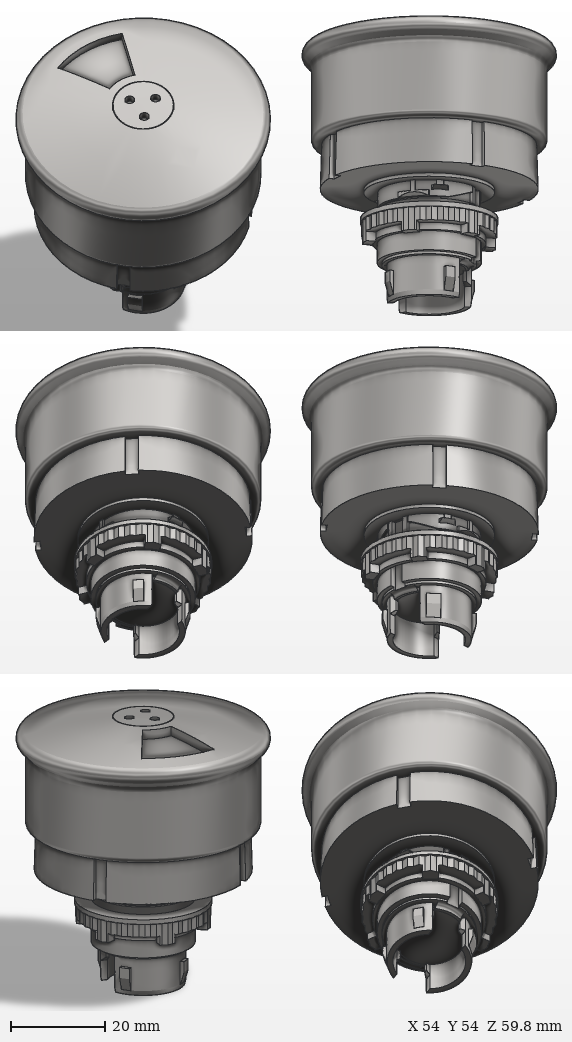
import cadquery as cq
import math

cap_top_z = 59.75
dome_edge_radius = 25.5
dome_sag = 3.1
rim_diameter = 54.0
rim_z = 54.85
rim_under_radius = 26.5
rim_under_z = 53.5
throat_radius = 25.4
throat_z = 52.4
drum_radius = 25.0
drum_top_z = 51.1
drum_bottom_z = 35.0
drum_bottom_fillet = 1.2

wedge_inner_radius = 8.5
wedge_outer_radius = 21.6
wedge_angle = 45.0
wedge_depth = 2.1

inlay_radius = 6.4
inlay_gap = 0.1
inlay_depth = 1.8
inlay_hole_radius = 1.0
inlay_hole_circle = 3.15
inlay_hole_count = 3
inlay_first_hole_angle = 90

collar_bottom_z = 25.35
collar_top_radius = 22.85
collar_bottom_radius = 23.15
collar_groove_width = 2.85
collar_groove_floor = 21.9
collar_groove_count = 4
collar_first_groove_angle = 45

gasket_bottom_z = 24.55
gasket_radius = 13.85

barrel_radius = 11.05
barrel_bottom_z = 9.2
barrel_shoulder_z = 20.55
neck_radius = 10.2
lip_radius = 10.05
lip_bottom_z = 8.6
bore_radius = 7.7
keyway_width = 3.0
keyway_floor_distance = 9.5
keyway_pad_width = 5.0
keyway_pad_radius = 10.8
leg_radius = 9.1
leg_slot_width = 8.2
leg_chamfer_height = 1.0
leg_chamfer_inset = 0.2
gusset_gap = 6.45
gusset_bottom_z = 4.5
gusset_chamfer = 0.9
web_top_radius = 9.5
web_bottom_radius = 8.3
web_arc_radius = 1.5
latch_width = 2.2
wide_latch_width = 3.1
latch_reach = 9.9
latch_top_z = 6.2
latch_ramp_z = 3.8
latch_bottom_z = 1.0
latch_angles = (45, 135, 225, 315)
wide_latch_angle = 315

plunger_bottom_z = 7.7

ring_radius = 10.95
ring_bottom_z = 21.1
ring_ramp_top_z = 23.1
ring_ramp_outer_x = 8.2
ring_ramp_inner_x = 3.2
ring_gap_width = 5.6
lobe_radius = 11.5
lobe_width = 6.8
lobe_top_z = 22.3
lobe_chamfer_height = 0.85
lobe_chamfer_depth = 0.5
lobe_rib_width = 1.0
barb_top_z = 23.35
barb_bottom_z = 22.5
barb_reach = 11.8
barb_root_radius = 10.8
barb_tip_width = 2.75
barb_root_width = 3.7
barb_rib_radius = 11.25
barb_rib_width = 1.55
barb_angles = (90, 210, 330)

nut_top_z = 18.95
nut_flange_radius = 14.6
nut_flange_bottom_z = 17.9
nut_tooth_radius = 14.4
nut_tooth_depth = 0.35
nut_tooth_count = 36
nut_tooth_bottom_z = 14.95
nut_hub_radius = 12.0
nut_hub_bottom_z = 13.4
nut_tab_width = 3.35
nut_tab_bottom_z = 12.9
nut_tab_count = 6

rim_radius = rim_diameter / 2
dome_sphere_radius = (dome_edge_radius ** 2 + dome_sag ** 2) / (2 * dome_sag)


def dome_z(radius):
    """Height of the dome surface at a given distance from the axis."""
    drop = dome_sphere_radius - math.sqrt(dome_sphere_radius ** 2 - radius ** 2)
    return cap_top_z - drop


def cylinder(radius, bottom_z, top_z):
    return cq.Workplane("XY", origin=(0, 0, bottom_z)).circle(radius).extrude(top_z - bottom_z)


def tube(outer_radius, inner_radius, bottom_z, top_z):
    profile = cq.Workplane("XY", origin=(0, 0, bottom_z)).circle(outer_radius).circle(inner_radius)
    return profile.extrude(top_z - bottom_z)


def block(x_range, y_range, z_range):
    size = [high - low for low, high in (x_range, y_range, z_range)]
    corner = (x_range[0], y_range[0], z_range[0])
    return cq.Workplane("XY").box(*size, centered=False).translate(corner)


def spin(shape, angle):
    return shape.rotate((0, 0, 0), (0, 0, 1), angle)


def make_wedge_pocket():
    """Ring sector whose floor runs parallel to the dome."""
    middle_radius = (wedge_inner_radius + wedge_outer_radius) / 2
    clear_z = cap_top_z + wedge_depth
    pocket = (
        cq.Workplane("XZ")
        .moveTo(wedge_inner_radius, dome_z(wedge_inner_radius) - wedge_depth)
        .threePointArc(
            (middle_radius, dome_z(middle_radius) - wedge_depth),
            (wedge_outer_radius, dome_z(wedge_outer_radius) - wedge_depth),
        )
        .lineTo(wedge_outer_radius, clear_z)
        .lineTo(wedge_inner_radius, clear_z)
        .close()
        .revolve(wedge_angle, (0, 0, 0), (0, 1, 0))
    )
    return spin(pocket, 180 - wedge_angle / 2)


def make_cap():
    half_edge = dome_edge_radius / 2
    cap = (
        cq.Workplane("XZ")
        .moveTo(0, drum_bottom_z)
        .lineTo(drum_radius, drum_bottom_z)
        .lineTo(drum_radius, drum_top_z)
        .tangentArcPoint((throat_radius, throat_z), relative=False)
        .lineTo(rim_under_radius, rim_under_z)
        .tangentArcPoint((rim_radius, rim_z), relative=False)
        .tangentArcPoint((dome_edge_radius, cap_top_z - dome_sag), relative=False)
        .threePointArc((half_edge, dome_z(half_edge)), (0, cap_top_z))
        .close()
        .revolve(360, (0, 0, 0), (0, 1, 0))
    )
    cap = cap.faces("<Z").edges().fillet(drum_bottom_fillet)
    recess = cylinder(inlay_radius + inlay_gap, cap_top_z - inlay_depth, cap_top_z)
    return cap.cut(recess).cut(make_wedge_pocket())


def make_inlay():
    bottom_z = cap_top_z - inlay_depth
    half_radius = inlay_radius / 2
    inlay = (
        cq.Workplane("XZ")
        .moveTo(0, bottom_z)
        .lineTo(inlay_radius, bottom_z)
        .lineTo(inlay_radius, dome_z(inlay_radius))
        .threePointArc((half_radius, dome_z(half_radius)), (0, cap_top_z))
        .close()
        .revolve(360, (0, 0, 0), (0, 1, 0))
    )
    holes = (
        cq.Workplane("XY", origin=(0, 0, bottom_z))
        .polarArray(inlay_hole_circle, inlay_first_hole_angle, 360, inlay_hole_count)
        .circle(inlay_hole_radius)
        .extrude(2 * inlay_depth)
    )
    return inlay.cut(holes)


def make_collar():
    """Disc with a slightly flared side: upright at the top, widest at the bottom."""
    middle_radius = collar_top_radius + (collar_bottom_radius - collar_top_radius) / 4
    middle_z = (collar_bottom_z + drum_bottom_z) / 2
    collar = (
        cq.Workplane("XZ")
        .moveTo(0, collar_bottom_z)
        .lineTo(collar_bottom_radius, collar_bottom_z)
        .threePointArc((middle_radius, middle_z), (collar_top_radius, drum_bottom_z))
        .lineTo(0, drum_bottom_z)
        .close()
        .revolve(360, (0, 0, 0), (0, 1, 0))
    )
    half_width = collar_groove_width / 2
    groove = block(
        (collar_groove_floor, 2 * collar_groove_floor),
        (-half_width, half_width),
        (collar_bottom_z, drum_bottom_z),
    )
    for index in range(collar_groove_count):
        collar = collar.cut(spin(groove, collar_first_groove_angle + index * 360 / collar_groove_count))
    return collar


def make_gasket():
    return tube(gasket_radius, neck_radius, gasket_bottom_z, collar_bottom_z)


def make_keyway():
    """Groove along the -Y side, from below the gasket down through the lip."""
    half_width = keyway_width / 2
    y_range = (-barrel_radius, -keyway_floor_distance)
    return block((-half_width, half_width), y_range, (lip_bottom_z, gasket_bottom_z))


def make_gusset():
    """Rib inside the slot, along the -Y end of the +X leg, with a 45 degree end face."""
    outer_x = leg_slot_width / 2
    inner_x = gusset_gap / 2
    outer_y = math.sqrt(leg_radius ** 2 - outer_x ** 2)
    inner_y = math.sqrt(bore_radius ** 2 - outer_x ** 2)
    rib = (
        cq.Workplane("XY", origin=(0, 0, gusset_bottom_z))
        .moveTo(outer_x, -inner_y)
        .lineTo(outer_x, -outer_y)
        .lineTo(inner_x, -outer_y + outer_x - inner_x)
        .lineTo(inner_x, -inner_y)
        .close()
        .extrude(lip_bottom_z - gusset_bottom_z)
    )
    front_outline = (
        cq.Workplane("XZ")
        .moveTo(outer_x, gusset_bottom_z)
        .lineTo(outer_x, lip_bottom_z)
        .lineTo(inner_x, lip_bottom_z)
        .lineTo(inner_x, gusset_bottom_z + gusset_chamfer)
        .close()
        .extrude(leg_radius)
    )
    return rib.intersect(front_outline)


def make_web():
    """Concave flare under the lip that closes the top of the slot between the gussets."""
    half_gap = gusset_gap / 2
    flare = (
        cq.Workplane("XZ")
        .moveTo(bore_radius, plunger_bottom_z)
        .lineTo(web_bottom_radius, plunger_bottom_z)
        .radiusArc((web_top_radius, lip_bottom_z), web_arc_radius)
        .lineTo(bore_radius, lip_bottom_z)
        .close()
        .revolve(360, (0, 0, 0), (0, 1, 0))
    )
    slot_top = block(
        (-half_gap, half_gap), (-web_top_radius, web_top_radius), (plunger_bottom_z, lip_bottom_z)
    )
    return flare.intersect(slot_top)


def make_latch(width):
    """Hook on the +X side: flat on top, upright outside, tapering in to the leg below."""
    return (
        cq.Workplane("XZ", origin=(0, width / 2, 0))
        .moveTo(bore_radius, latch_top_z)
        .lineTo(latch_reach, latch_top_z)
        .lineTo(latch_reach, latch_ramp_z)
        .lineTo(leg_radius, latch_bottom_z)
        .lineTo(bore_radius, latch_bottom_z)
        .close()
        .extrude(width)
        .cut(cylinder(bore_radius, 0, lip_bottom_z))
    )


def make_legs():
    foot_radius = leg_radius - leg_chamfer_inset
    legs = (
        cq.Workplane("XZ")
        .moveTo(bore_radius, 0)
        .lineTo(foot_radius, 0)
        .lineTo(leg_radius, leg_chamfer_height)
        .lineTo(leg_radius, lip_bottom_z)
        .lineTo(bore_radius, lip_bottom_z)
        .close()
        .revolve(360, (0, 0, 0), (0, 1, 0))
    )
    half_slot = leg_slot_width / 2
    legs = legs.cut(block((-half_slot, half_slot), (-leg_radius, leg_radius), (0, lip_bottom_z)))
    for angle in latch_angles:
        width = wide_latch_width if angle == wide_latch_angle else latch_width
        legs = legs.union(spin(make_latch(width), angle))
    corner = make_gusset()
    side_pair = corner.union(corner.mirror("XZ"))
    return legs.union(side_pair).union(side_pair.mirror("YZ")).union(make_web())


def make_barrel():
    half_pad = keyway_pad_width / 2
    pad_region = block((-half_pad, half_pad), (-barrel_radius, 0), (barrel_shoulder_z, gasket_bottom_z))
    barrel = (
        cylinder(neck_radius, barrel_shoulder_z, collar_bottom_z)
        .union(cylinder(barrel_radius, barrel_bottom_z, barrel_shoulder_z))
        .union(cylinder(lip_radius, lip_bottom_z, barrel_bottom_z))
        .union(cylinder(keyway_pad_radius, barrel_shoulder_z, gasket_bottom_z).intersect(pad_region))
        .cut(cylinder(bore_radius, lip_bottom_z, collar_bottom_z))
        .cut(make_keyway())
    )
    return barrel.union(make_legs())


def make_plunger():
    return cylinder(bore_radius, plunger_bottom_z, collar_bottom_z).cut(make_legs())


def make_lobe():
    """Thickened foot on the +X side with a rib above it."""
    half_width = lobe_width / 2
    half_rib = lobe_rib_width / 2
    reach = (neck_radius, lobe_radius)
    foot = block(reach, (-half_width, half_width), (ring_bottom_z, lobe_top_z))
    rib = block(reach, (-half_rib, half_rib), (ring_bottom_z, gasket_bottom_z))
    chamfer = (
        cq.Workplane("XZ", origin=(0, half_width, 0))
        .moveTo(lobe_radius - lobe_chamfer_depth, ring_bottom_z)
        .lineTo(lobe_radius, ring_bottom_z)
        .lineTo(lobe_radius, ring_bottom_z + lobe_chamfer_height)
        .close()
        .extrude(lobe_width)
    )
    return foot.union(rib).intersect(cylinder(lobe_radius, ring_bottom_z, gasket_bottom_z)).cut(chamfer)


def make_barb():
    """Tapered barb on the +X side, flat on top and sloping inwards below, with a rib above it."""
    half_root = barb_root_width / 2
    half_tip = barb_tip_width / 2
    half_rib = barb_rib_width / 2
    side_profile = (
        cq.Workplane("XZ", origin=(0, half_root, 0))
        .moveTo(neck_radius, barb_bottom_z)
        .lineTo(barb_root_radius, barb_bottom_z)
        .lineTo(barb_reach, barb_top_z)
        .lineTo(neck_radius, barb_top_z)
        .close()
        .extrude(barb_root_width)
    )
    plan = (
        cq.Workplane("XY", origin=(0, 0, barb_bottom_z))
        .moveTo(neck_radius, -half_root)
        .lineTo(barb_root_radius, -half_root)
        .lineTo(barb_reach, -half_tip)
        .lineTo(barb_reach, half_tip)
        .lineTo(barb_root_radius, half_root)
        .lineTo(neck_radius, half_root)
        .close()
        .extrude(barb_top_z - barb_bottom_z)
    )
    rib = block((neck_radius, barb_rib_radius), (-half_rib, half_rib), (barb_top_z, gasket_bottom_z))
    return side_profile.intersect(plan).union(rib)


def make_ring():
    ring = cylinder(ring_radius, ring_bottom_z, gasket_bottom_z)
    opening = (
        cq.Workplane("XZ")
        .moveTo(-ring_ramp_outer_x, ring_bottom_z)
        .lineTo(-ring_ramp_inner_x, ring_ramp_top_z)
        .lineTo(-ring_gap_width / 2, ring_ramp_top_z)
        .lineTo(-ring_gap_width / 2, gasket_bottom_z)
        .lineTo(ring_gap_width / 2, gasket_bottom_z)
        .lineTo(ring_gap_width / 2, ring_ramp_top_z)
        .lineTo(ring_ramp_inner_x, ring_ramp_top_z)
        .lineTo(ring_ramp_outer_x, ring_bottom_z)
        .close()
        .extrude(lobe_radius)
    )
    lobe = make_lobe()
    ring = ring.union(lobe).union(lobe.mirror("YZ"))
    for angle in barb_angles:
        ring = ring.union(spin(make_barb(), angle))
    ring = ring.cut(opening)
    return ring.cut(cylinder(neck_radius, ring_bottom_z, gasket_bottom_z))


def make_toothed_disc():
    """Star-shaped prism with one tooth tip pointing along +X."""
    points = []
    for index in range(2 * nut_tooth_count):
        angle = index * math.pi / nut_tooth_count
        radius = nut_tooth_radius - nut_tooth_depth * (index % 2)
        points.append((radius * math.cos(angle), radius * math.sin(angle)))
    outline = cq.Workplane("XY", origin=(0, 0, nut_tab_bottom_z)).polyline(points).close()
    return outline.extrude(nut_flange_bottom_z - nut_tab_bottom_z)


def make_nut():
    half_tab = nut_tab_width / 2
    keep = cylinder(nut_flange_radius, nut_tooth_bottom_z, nut_flange_bottom_z)
    tab = block((0, nut_flange_radius), (-half_tab, half_tab), (nut_tab_bottom_z, nut_tooth_bottom_z))
    for index in range(nut_tab_count):
        keep = keep.union(spin(tab, index * 360 / nut_tab_count))
    below_tabs = cylinder(nut_hub_radius, nut_tab_bottom_z, nut_hub_bottom_z)
    teeth = make_toothed_disc().intersect(keep).cut(below_tabs)
    flange = cylinder(nut_flange_radius, nut_flange_bottom_z, nut_top_z)
    hub = cylinder(nut_hub_radius, nut_hub_bottom_z, nut_top_z)
    return teeth.union(flange).union(hub).cut(cylinder(barrel_radius, nut_hub_bottom_z, nut_top_z))


cap = make_cap()
inlay = make_inlay()
collar = make_collar()
gasket = make_gasket()
barrel = make_barrel()
plunger = make_plunger()
ring = make_ring()
nut = make_nut()

bodies = [cap, inlay, collar, gasket, barrel, plunger, ring, nut]
result = cq.Compound.makeCompound([body.solids().val() for body in bodies])